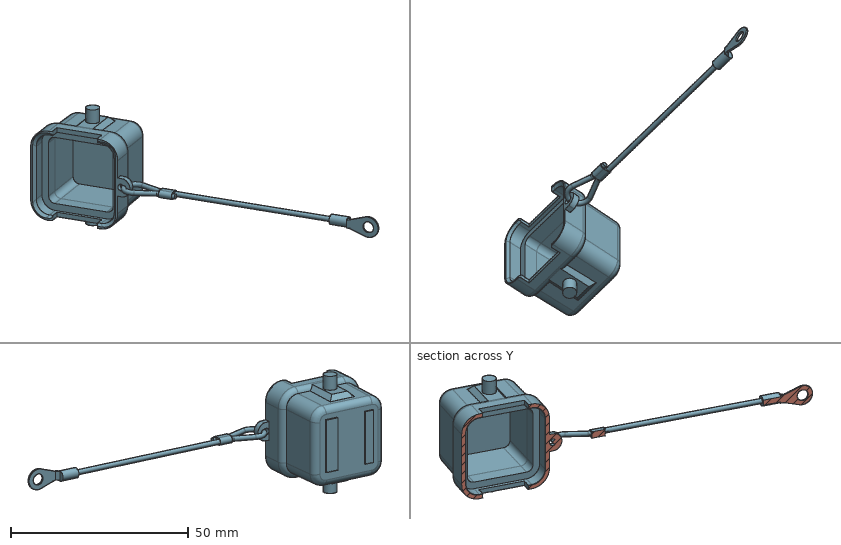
import cadquery as cq
import math


rim_size = 27.0
rim_corner = 5.5
rim_fillet_start = 6.6
rim_fillet = 1.9
rim_depth = rim_fillet_start + rim_fillet
cover_depth = 22.5
cover_base_size = 24.1
cover_back_size = 23.6
cover_corner = 4.0
back_fillet = 2.0

rim_wall = 1.4
rim_chamfer = 0.8
ledge_depth = 4.6
cavity_size = 20.0
cavity_corner = 1.9
cavity_straight_depth = 4.2
cavity_floor_size = 19.1
cavity_floor_depth = 20.4

notch_width = 13.9
notch_depth = 3.5
notch_fillet = 0.6

pin_diameter = 4.0
pin_span = 35.0
pin_y = 12.7
pad_width = 5.2
pad_recess = 0.1
pad_sink = 0.5
pad_y_start = 6.6
pad_face_end = 17.5

strip_height = 0.5
strip_bottom = -7.4
strip_top = 8.3
strip_spans = [(-8.0, -5.2), (4.2, 8.1)]

lug_thickness = 1.9
lug_hole_x = 14.5
lug_radius = 2.8
lug_shoulder_x = 15.2
lug_base_half = 2.8
lug_hole_diameter = 1.9

cord_diameter = 1.5
loop_x = 18.5
loop_radius = 3.3
strand_offset = 1.0
bend_x = 25.7
ferrule_start = 26.4
ferrule_end = 30.5
ferrule_width = 3.8
ferrule_thickness = 2.1
tail_end = 31.4
loop_y = lug_thickness / 2
cord_y = loop_y + strand_offset

barrel_start = 78.8
barrel_end = 84.1
barrel_diameter = 3.0
neck_end = 85.1
neck_width = 2.6
eye_diameter = 6.1
eye_hole_diameter = 3.2
eye_thickness = 0.5
overall_length = 107.5
eye_x = overall_length - rim_size / 2 - eye_diameter / 2
eye_y = cord_y - barrel_diameter / 2


def plane_at(y):
    """Plane facing +Y; its local axes are X and -Z."""
    return cq.Workplane(cq.Plane(origin=(0, y, 0), xDir=(1, 0, 0), normal=(0, 1, 0)))


def rounded_square(size, corner):
    return cq.Sketch().rect(size, size).vertices().fillet(corner)


def square_block(size, corner, start, end):
    return plane_at(start).placeSketch(rounded_square(size, corner)).extrude(end - start)


def square_taper(start_size, end_size, corner, start, end):
    start_sketch = rounded_square(start_size, corner)
    end_sketch = rounded_square(end_size, corner).moved(cq.Location(cq.Vector(0, 0, end - start)))
    return plane_at(start).placeSketch(start_sketch, end_sketch).loft()


def make_pad():
    """Pad with sloped sides and back that carries the upper pin."""
    base_z = cover_back_size / 2 - pad_sink
    top_z = rim_size / 2 - pad_recess
    height = top_z - base_z
    base_end = pad_face_end + height
    profile = [
        (pad_y_start, base_z),
        (pad_y_start, top_z),
        (pad_face_end, top_z),
        (base_end, base_z),
    ]
    base_width = pad_width + 2 * height
    side = cq.Workplane("YZ").polyline(profile).close().extrude(base_width / 2, both=True)
    trapezoid = [
        (-base_width / 2, base_z),
        (base_width / 2, base_z),
        (pad_width / 2, top_z),
        (-pad_width / 2, top_z),
    ]
    front = cq.Workplane("XZ").polyline(trapezoid).close().extrude(-base_end)
    return side.intersect(front)


def make_shell():
    rim = square_block(rim_size, rim_corner, 0, rim_depth).faces(">Y").edges().fillet(rim_fillet)
    body = square_taper(cover_base_size, cover_back_size, cover_corner, rim_fillet_start, cover_depth)
    body = body.faces(">Y").edges().fillet(back_fillet)
    shell = rim.union(body)
    pad = make_pad()
    return shell.union(pad).union(pad.mirror("XY"))


def make_cavity():
    opening_size = rim_size - 2 * rim_wall
    opening_corner = rim_corner - rim_wall
    opening = square_block(opening_size, opening_corner, 0, ledge_depth)
    entry = square_taper(
        opening_size + 2 * rim_chamfer, opening_size, opening_corner, 0, rim_chamfer
    )
    taper_start = ledge_depth + cavity_straight_depth
    straight = square_block(cavity_size, cavity_corner, ledge_depth, taper_start)
    taper = square_taper(
        cavity_size, cavity_floor_size, cavity_corner, taper_start, cavity_floor_depth
    )
    return opening.union(entry).union(straight).union(taper)


def make_notches():
    """One cutter through both rim walls, flared where it meets the rim face."""
    half = notch_width / 2
    round_offset = notch_fillet * (1 - math.sqrt(0.5))
    return (
        cq.Workplane("XY")
        .moveTo(-half - notch_fillet, 0)
        .threePointArc((-half - round_offset, round_offset), (-half, notch_fillet))
        .lineTo(-half, notch_depth)
        .lineTo(half, notch_depth)
        .lineTo(half, notch_fillet)
        .threePointArc((half + round_offset, round_offset), (half + notch_fillet, 0))
        .close()
        .extrude(rim_size, both=True)
    )


def make_pins():
    """Upper and lower pins, each starting inside the cover wall."""
    inner_z = (cavity_size + cover_back_size) / 4
    pin = (
        cq.Workplane("XY", origin=(0, pin_y, inner_z))
        .circle(pin_diameter / 2)
        .extrude(pin_span / 2 - inner_z)
    )
    return pin.union(pin.mirror("XY"))


def make_strip(left, right):
    """Low strip centred on the back face, so half of its thickness stands proud."""
    center = ((left + right) / 2, cover_depth, (strip_top + strip_bottom) / 2)
    strip = cq.Workplane("XY").box(right - left, 2 * strip_height, strip_top - strip_bottom)
    return strip.translate(center)


def make_lug():
    root_x = rim_size / 2 - rim_wall / 2
    shoulder_z = math.sqrt(lug_radius**2 - (lug_shoulder_x - lug_hole_x) ** 2)
    outline = (
        plane_at(0)
        .moveTo(root_x, -lug_base_half)
        .lineTo(rim_size / 2, -lug_base_half)
        .lineTo(lug_shoulder_x, -shoulder_z)
        .threePointArc((lug_hole_x + lug_radius, 0), (lug_shoulder_x, shoulder_z))
        .lineTo(rim_size / 2, lug_base_half)
        .lineTo(root_x, lug_base_half)
        .close()
    )
    hole = plane_at(0).center(lug_hole_x, 0).circle(lug_hole_diameter / 2)
    return outline.extrude(lug_thickness).cut(hole.extrude(lug_thickness))


def make_cord():
    """Cord from its tail, through the lug and the ferrule, to the terminal barrel."""
    run = bend_x - loop_x
    tangent_angle = math.acos(loop_radius / math.hypot(run, strand_offset))
    tangent_angle += math.atan2(strand_offset, run)
    tangent_x = loop_x + loop_radius * math.cos(tangent_angle)
    tangent_offset = loop_radius * math.sin(tangent_angle)
    path = (
        cq.Workplane("XY")
        .moveTo(tail_end, loop_y - strand_offset)
        .lineTo(bend_x, loop_y - strand_offset)
        .lineTo(tangent_x, loop_y - tangent_offset)
        .threePointArc((loop_x - loop_radius, loop_y), (tangent_x, loop_y + tangent_offset))
        .lineTo(bend_x, cord_y)
        .lineTo(barrel_start, cord_y)
    )
    section = cq.Workplane("YZ", origin=(tail_end, loop_y - strand_offset, 0))
    return section.circle(cord_diameter / 2).sweep(path, transition="round")


def make_ferrule():
    return (
        cq.Workplane("YZ", origin=(ferrule_start, loop_y, 0))
        .slot2D(ferrule_width, ferrule_thickness)
        .extrude(ferrule_end - ferrule_start)
    )


def make_terminal():
    barrel = (
        cq.Workplane("YZ", origin=(barrel_start, cord_y, 0))
        .circle(barrel_diameter / 2)
        .extrude(barrel_end - barrel_start)
    )

    run = eye_x - neck_end
    eye_radius = eye_diameter / 2
    flank_angle = math.atan2(neck_width / 2, -run)
    flank_angle -= math.acos(eye_radius / math.hypot(run, neck_width / 2))
    flank_x = eye_x + eye_radius * math.cos(flank_angle)
    flank_z = eye_radius * math.sin(flank_angle)
    eye = (
        plane_at(eye_y)
        .moveTo(barrel_end, -neck_width / 2)
        .lineTo(neck_end, -neck_width / 2)
        .lineTo(flank_x, -flank_z)
        .threePointArc((eye_x + eye_radius, 0), (flank_x, flank_z))
        .lineTo(neck_end, neck_width / 2)
        .lineTo(barrel_end, neck_width / 2)
        .close()
        .extrude(eye_thickness)
    )
    hole = plane_at(eye_y).center(eye_x, 0).circle(eye_hole_diameter / 2).extrude(eye_thickness)

    web = (
        cq.Workplane("XY")
        .moveTo(barrel_end, eye_y)
        .lineTo(neck_end, eye_y)
        .lineTo(neck_end, eye_y + eye_thickness)
        .lineTo(barrel_end, cord_y)
        .close()
        .extrude(neck_width / 2, both=True)
    )
    return barrel.union(eye).union(web).cut(hole)


cover = make_shell().cut(make_cavity()).cut(make_notches()).union(make_pins()).union(make_lug())
for strip_left, strip_right in strip_spans:
    cover = cover.union(make_strip(strip_left, strip_right))

tether = make_cord().union(make_ferrule()).union(make_terminal())
result = cover.union(tether)